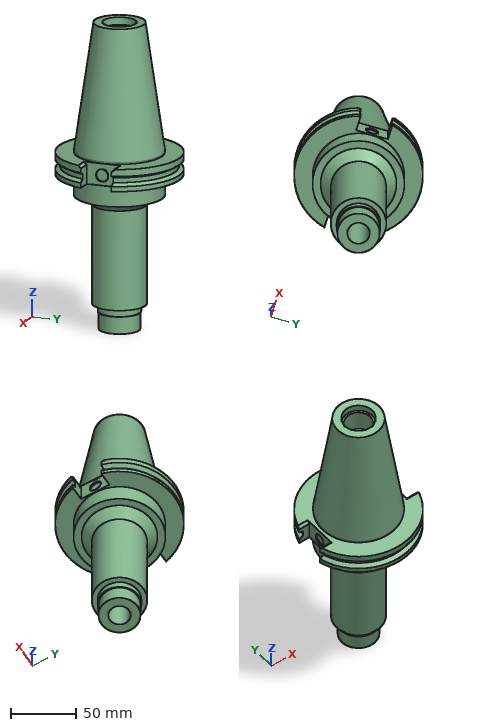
import cadquery as cq
import math

total_height = 243.8

taper_ratio = 7 / 24
taper_length = 101.7
gauge_radius = 34.9
small_end_radius = gauge_radius - taper_length * taper_ratio / 2

flange_radius = 49.2
flange_gap = 1.5
flange_thickness = 17.5
groove_center_depth = 9.5
groove_depth = 3.7
groove_floor_width = 4.0
groove_half_angle = 30

collar_radius = 35.0
collar_length = 16.3
nose_cone_radius = 29.0
nose_cone_length = 7.3
shank_radius = 21.2
pilot_radius = 16.8
tip_radius = 16.0
pilot_length = 6.3
tip_length = 14.0

slot_width = 25.4
slot_chamfer = 2.2
left_slot_floor = 37.8
right_slot_floor = 35.5
dimple_diameter = 10.0
dimple_depth = 1.2

through_radius = 8.5
bore_steps = [(13.2, 5.9), (11.2, 24.5), (9.3, 48.8)]

gauge_z = total_height - taper_length
flange_top = gauge_z - flange_gap
flange_bottom = flange_top - flange_thickness
collar_bottom = flange_bottom - collar_length
shank_top = collar_bottom - nose_cone_length
shank_bottom = tip_length + pilot_length
groove_z = flange_top - groove_center_depth


def make_body():
    """Revolve the outer profile, groove included."""
    groove_floor_radius = flange_radius - groove_depth
    half_floor = groove_floor_width / 2
    half_mouth = half_floor + groove_depth * math.tan(math.radians(groove_half_angle))
    profile = [
        (0, 0),
        (tip_radius, 0),
        (tip_radius, tip_length),
        (pilot_radius, tip_length),
        (pilot_radius, shank_bottom),
        (shank_radius, shank_bottom),
        (shank_radius, shank_top),
        (nose_cone_radius, collar_bottom),
        (collar_radius, collar_bottom),
        (collar_radius, flange_bottom),
        (flange_radius, flange_bottom),
        (flange_radius, groove_z - half_mouth),
        (groove_floor_radius, groove_z - half_floor),
        (groove_floor_radius, groove_z + half_floor),
        (flange_radius, groove_z + half_mouth),
        (flange_radius, flange_top),
        (gauge_radius, flange_top),
        (gauge_radius, gauge_z),
        (small_end_radius, total_height),
        (0, total_height),
    ]
    return cq.Workplane("XZ").polyline(profile).close().revolve(360, (0, 0), (0, 1))


def make_drive_slot(side, floor):
    """Slot through the flange with chamfered upper edges; side is -1 or 1 along X."""
    half_width = slot_width / 2
    half_mouth = half_width + slot_chamfer
    section = [
        (-half_width, flange_bottom),
        (half_width, flange_bottom),
        (half_width, flange_top - slot_chamfer),
        (half_mouth, flange_top),
        (-half_mouth, flange_top),
        (-half_width, flange_top - slot_chamfer),
    ]
    plane = cq.Workplane("YZ", origin=(side * floor, 0, 0))
    return plane.polyline(section).close().extrude(side * flange_radius)


def make_dimple(side, floor):
    """Shallow round recess in a drive slot floor, level with the groove."""
    plane = cq.Workplane("YZ", origin=(side * floor, 0, groove_z))
    return plane.circle(dimple_diameter / 2).extrude(-side * dimple_depth)


def make_bore():
    """Through bore that widens in steps towards the taper's small end."""
    bore = cq.Workplane("XY").circle(through_radius).extrude(total_height)
    for radius, depth in bore_steps:
        step = cq.Workplane("XY", origin=(0, 0, total_height - depth)).circle(radius).extrude(depth)
        bore = bore.union(step)
    return bore


result = make_body().cut(make_bore())
for side, floor in ((-1, left_slot_floor), (1, right_slot_floor)):
    result = result.cut(make_drive_slot(side, floor)).cut(make_dimple(side, floor))